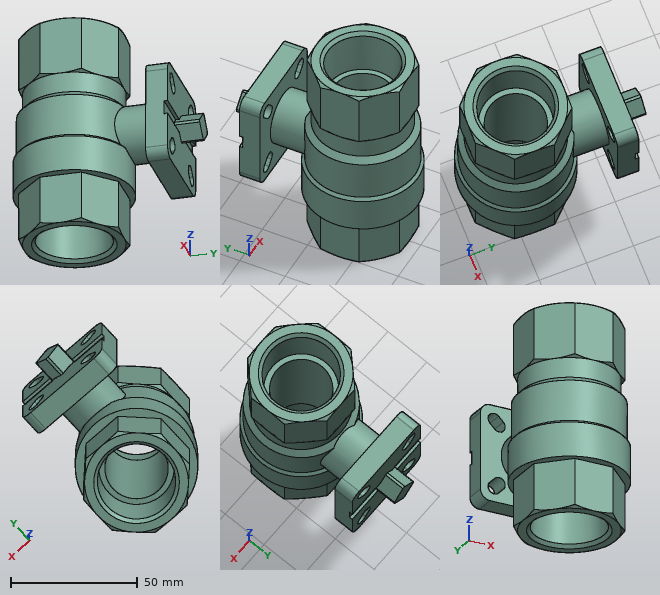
import cadquery as cq
import math

total_height = 90.0
half_height = total_height / 2

flats_width = 41.0
flats_radius = flats_width / 2
corner_radius = flats_radius / math.cos(math.pi / 8)
nut_chamfer_angle = 30.0
upper_nut_bottom = 21.0

body_radius = 46.0 / 2
body_top = 9.9
shoulder_top = body_top + body_radius - flats_radius
collar_radius = 48.5 / 2
collar_bottom = -23.9
collar_top = -7.7
collar_chamfer = collar_radius - body_radius

bore_diameter = 25.0
socket_depth = 19.0
socket_bottom_radius = 14.85
socket_top_radius = 15.5
socket_mouth_radius = 16.9
socket_chamfer = socket_mouth_radius - socket_top_radius

neck_diameter = 23.5
flange_width = 42.0
flange_start = 35.0
flange_thickness = 9.0
flange_end = flange_start + flange_thickness
flange_corner_radius = 4.2
groove_width = 5.6
groove_depth = 1.4

inner_bolt_circle = 36.0
outer_bolt_circle = 42.0
slot_width = 5.5
slot_radius = (inner_bolt_circle + outer_bolt_circle) / 4
slot_length = (outer_bolt_circle - inner_bolt_circle) / 2 + slot_width

stem_end = 53.0
stem_square = 9.0
stem_corner_width = 11.5
stem_corner_trim = (stem_square * math.sqrt(2) - stem_corner_width) / math.sqrt(2)


def octagon_prism(bottom, top):
    """Octagonal prism with flats facing X and Y."""
    return (
        cq.Workplane("XY", origin=(0, 0, bottom))
        .transformed(rotate=(0, 0, 180 / 8))
        .polygon(8, 2 * corner_radius)
        .extrude(top - bottom)
    )


def end_cone(end, direction):
    """Solid cone that meets the flats at an end and widens away from it; direction is +1 for a top end."""
    base = end - direction * total_height
    base_radius = flats_radius + total_height / math.tan(math.radians(nut_chamfer_angle))
    return (
        cq.Workplane("XZ")
        .moveTo(0, base)
        .lineTo(base_radius, base)
        .lineTo(flats_radius, end)
        .lineTo(0, end)
        .close()
        .revolve(360, (0, 0, 0), (0, 1, 0))
    )


def turned_body():
    """Collar, main barrel and the smaller barrel below the upper nut."""
    return (
        cq.Workplane("XZ")
        .moveTo(0, collar_bottom)
        .lineTo(collar_radius, collar_bottom)
        .lineTo(collar_radius, collar_top - collar_chamfer)
        .lineTo(body_radius, collar_top)
        .lineTo(body_radius, body_top)
        .lineTo(flats_radius, shoulder_top)
        .lineTo(flats_radius, upper_nut_bottom)
        .lineTo(0, upper_nut_bottom)
        .close()
        .revolve(360, (0, 0, 0), (0, 1, 0))
    )


def upper_socket():
    """Tapered socket with a mouth chamfer, opening at the upper end."""
    return (
        cq.Workplane("XZ")
        .moveTo(0, half_height - socket_depth)
        .lineTo(socket_bottom_radius, half_height - socket_depth)
        .lineTo(socket_top_radius, half_height - socket_chamfer)
        .lineTo(socket_mouth_radius, half_height)
        .lineTo(0, half_height)
        .close()
        .revolve(360, (0, 0, 0), (0, 1, 0))
    )


def across_stem(distance):
    """Workplane square to the stem axis at a distance along it."""
    return cq.Workplane("XZ", origin=(0, distance, 0))


def flange():
    """Square plate with rounded corners, four radial slots and a groove across its outer face."""
    plate = (
        across_stem(flange_start)
        .rect(flange_width, flange_width)
        .extrude(-flange_thickness)
        .edges("|Y")
        .fillet(flange_corner_radius)
    )
    for quarter in range(4):
        slot = (
            across_stem(flange_start)
            .center(slot_radius, 0)
            .slot2D(slot_length, slot_width)
            .extrude(-flange_thickness)
            .rotate((0, 0, 0), (0, 1, 0), 45 + 90 * quarter)
        )
        plate = plate.cut(slot)
    groove = across_stem(flange_end).rect(flange_width, groove_width).extrude(groove_depth)
    return plate.cut(groove)


def stem():
    """Square drive with trimmed corners, rising from the floor of the flange groove."""
    start = flange_end - groove_depth
    return (
        across_stem(start)
        .rect(stem_square, stem_square)
        .extrude(start - stem_end)
        .edges("|Y")
        .chamfer(stem_corner_trim)
        .rotate((0, 0, 0), (0, 1, 0), 45)
    )


upper_nut = (
    octagon_prism(upper_nut_bottom, half_height)
    .intersect(end_cone(half_height, 1))
    .intersect(end_cone(upper_nut_bottom, -1))
)
lower_nut = octagon_prism(-half_height, collar_bottom).intersect(end_cone(-half_height, -1))
neck = across_stem(0).circle(neck_diameter / 2).extrude(-flange_start)

result = (
    turned_body()
    .union(upper_nut)
    .union(lower_nut)
    .union(neck)
    .union(flange())
    .union(stem())
)

bore = cq.Workplane("XY").circle(bore_diameter / 2).extrude(half_height, both=True)
result = result.cut(bore).cut(upper_socket()).cut(upper_socket().mirror("XY"))